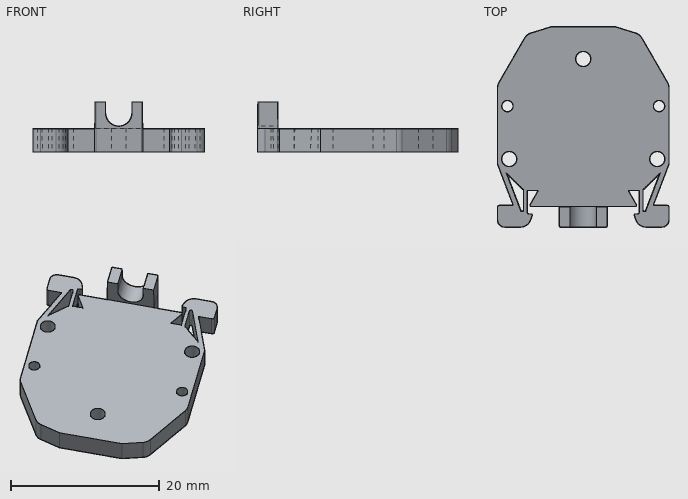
import cadquery as cq

plate_thickness = 3.17
half_width = 11.6
length = 27.1
shoulder_y = 19.21
crown_corner = (7.65, 26.07)
crown_half_width = 4.34
outline_radius = 1.5

arm_top_y = 8.55
arm_foot_x = 9.48
foot_height = 2.98
foot_top_radius = 0.3
foot_bottom_radius = 1.0
hook_tip_x = 6.8
hook_top_y = 1.82
hook_bottom_x = 7.45
hook_radius = 1.5
hook_tip_radius = 0.2
hook_root_radius = 0.15
rail_slot_x = 7.53
rail_slot_y = 4.95

dovetail_root_x = 6.1
dovetail_tip_x = 7.35
dovetail_bottom_y = 2.8
dovetail_radius = 0.2

window_top = (10.4, 7.35)
window_inner_x = 8.05
window_inner_y = 5.05
window_end_radius = 0.22
arm_slope = (arm_top_y - foot_height) / (half_width - arm_foot_x)
window_bottom_y = window_top[1] - arm_slope * (window_top[0] - window_inner_x)

saddle_width = 6.5
saddle_height = 6.8
saddle_edge_radius = 0.2
channel_radius = 1.75
channel_bottom_z = 3.52

window_draft_angle = 1.0
saddle_draft_angle = 0.7

large_hole_diameter = 2.0
small_hole_diameter = 1.5
top_hole_y = 22.75
small_hole_position = (10.25, 16.37)
lower_hole_position = (10.0, 9.21)


def corner_at(x, y):
    """Select the upright plate edge that passes through a plan position."""
    reach = 0.003
    lower = (x - reach, y - reach, 0)
    upper = (x + reach, y + reach, plate_thickness)
    return cq.selectors.BoxSelector(lower, upper)


def make_half_plate():
    """The +X half of the plate, with its arm, foot and half of the dovetail."""
    outline = [
        (0, length),
        (crown_half_width, length),
        crown_corner,
        (half_width, shoulder_y),
        (half_width, arm_top_y),
        (arm_foot_x, foot_height),
        (half_width, foot_height),
        (half_width, 0),
        (hook_bottom_x, 0),
        (hook_tip_x, hook_top_y),
        (rail_slot_x, hook_top_y),
        (rail_slot_x, rail_slot_y),
        (dovetail_root_x, rail_slot_y),
        (dovetail_tip_x, dovetail_bottom_y),
        (0, dovetail_bottom_y),
    ]
    rounded_corners = [
        (crown_corner, outline_radius),
        ((half_width, shoulder_y), outline_radius),
        ((half_width, foot_height), foot_top_radius),
        ((half_width, 0), foot_bottom_radius),
        ((hook_bottom_x, 0), hook_radius),
        ((hook_tip_x, hook_top_y), hook_tip_radius),
        ((rail_slot_x, hook_top_y), hook_root_radius),
        ((dovetail_tip_x, dovetail_bottom_y), dovetail_radius),
    ]
    half = cq.Workplane("XY").polyline(outline).close().extrude(plate_thickness)
    for corner, radius in rounded_corners:
        half = half.edges(corner_at(*corner)).fillet(radius)
    return half


def make_window():
    """Triangular cutter, narrowing downward, with a rounded lower end."""
    triangle = [
        window_top,
        (window_inner_x, window_inner_y),
        (window_inner_x, window_bottom_y),
    ]
    outline = (
        cq.Sketch()
        .polygon(triangle + triangle[:1])
        .vertices("<Y")
        .fillet(window_end_radius)
    )
    return (
        cq.Workplane("XY", origin=(0, 0, plate_thickness))
        .placeSketch(outline)
        .extrude(-plate_thickness, taper=window_draft_angle)
    )


def make_saddle():
    """Block in front of the dovetail, upright beside the plate and drafted above it."""
    outline = (
        cq.Sketch()
        .rect(saddle_width, dovetail_bottom_y)
        .vertices("<Y")
        .fillet(saddle_edge_radius)
        .moved(cq.Location(cq.Vector(0, dovetail_bottom_y / 2, 0)))
    )
    base = cq.Workplane("XY").placeSketch(outline).extrude(plate_thickness)
    upper = (
        cq.Workplane("XY", origin=(0, 0, plate_thickness))
        .placeSketch(outline)
        .extrude(saddle_height - plate_thickness, taper=saddle_draft_angle)
    )
    return base.union(upper)


def make_channel():
    """Cable channel along Y: open at the top, round at the bottom."""
    axis_z = channel_bottom_z + channel_radius
    return (
        cq.Workplane("XZ")
        .moveTo(-channel_radius, saddle_height)
        .lineTo(-channel_radius, axis_z)
        .threePointArc((0, channel_bottom_z), (channel_radius, axis_z))
        .lineTo(channel_radius, saddle_height)
        .close()
        .extrude(-dovetail_bottom_y)
    )


def make_holes(positions, diameter):
    return cq.Workplane("XY").pushPoints(positions).circle(diameter / 2).extrude(plate_thickness)


def mirrored_pair(position):
    x, y = position
    return [(-x, y), (x, y)]


half_plate = make_half_plate().cut(make_window())
plate = half_plate.union(half_plate.mirror("YZ"))
plate = plate.cut(make_holes([(0, top_hole_y)] + mirrored_pair(lower_hole_position), large_hole_diameter))
plate = plate.cut(make_holes(mirrored_pair(small_hole_position), small_hole_diameter))

result = plate.union(make_saddle()).cut(make_channel())